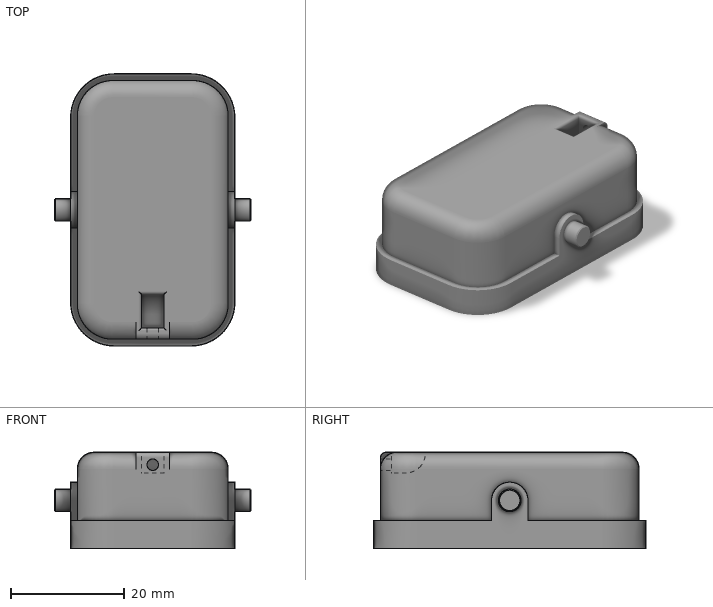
import cadquery as cq

flange_width = 29.0
flange_length = 48.0
flange_height = 5.0
flange_corner_radius = 7.75

body_width = 26.6
body_length = 45.6
total_height = 17.0
body_corner_radius = 6.25
top_edge_radius = 3.0
body_front_y = -body_length / 2

pin_span = 34.6
pin_diameter = 4.0
pin_end_chamfer = 0.2
pin_height = 8.5
lug_width = 6.45

block_width = 5.95
block_edge_radius = 1.0

pocket_width = 4.0
pocket_depth = 3.65
pocket_front_wall = 1.95
scoop_radius = 3.4
pocket_floor_length = 2.55
pocket_rim_radius = 0.5

hole_diameter = 2.0
hole_below_top = 2.2


def rounded_slab(width, length, height, corner_radius):
    slab = cq.Workplane("XY").box(width, length, height, centered=(True, True, False))
    return slab.edges("|Z").fillet(corner_radius)


def pin_and_lugs():
    lug = (
        cq.Workplane("YZ")
        .moveTo(-lug_width / 2, 0)
        .lineTo(lug_width / 2, 0)
        .lineTo(lug_width / 2, pin_height)
        .threePointArc((0, pin_height + lug_width / 2), (-lug_width / 2, pin_height))
        .close()
        .extrude(flange_width / 2, both=True)
    )
    pin = (
        cq.Workplane("YZ")
        .center(0, pin_height)
        .circle(pin_diameter / 2)
        .extrude(pin_span / 2, both=True)
        .faces("<X or >X")
        .chamfer(pin_end_chamfer)
    )
    return lug.union(pin)


def front_block():
    depth = 2 * top_edge_radius
    block = cq.Workplane("XY").box(block_width, depth, depth, centered=(True, False, False))
    block = block.translate((0, body_front_y, total_height - depth))
    return block.edges(">Z and <Y").fillet(block_edge_radius)


def cut_pocket(part):
    front_y = body_front_y + pocket_front_wall
    floor_z = total_height - pocket_depth
    scoop_start_y = front_y + pocket_floor_length
    back_y = scoop_start_y + scoop_radius
    scoop = (
        cq.Workplane("YZ")
        .moveTo(front_y, total_height)
        .lineTo(front_y, floor_z)
        .lineTo(scoop_start_y, floor_z)
        .radiusArc((back_y, floor_z + scoop_radius), -scoop_radius)
        .lineTo(back_y, total_height)
        .close()
        .extrude(pocket_width / 2, both=True)
    )
    margin = 0.05
    rim_zone = cq.selectors.BoxSelector(
        (-pocket_width / 2 - margin, front_y - margin, total_height - margin),
        (pocket_width / 2 + margin, back_y + margin, total_height + margin),
    )
    return part.cut(scoop).edges(rim_zone).fillet(pocket_rim_radius)


def cord_hole():
    return (
        cq.Workplane("XZ", origin=(0, body_front_y, total_height - hole_below_top))
        .circle(hole_diameter / 2)
        .extrude(-(pocket_front_wall + pocket_floor_length))
    )


flange = rounded_slab(flange_width, flange_length, flange_height, flange_corner_radius)
body = rounded_slab(body_width, body_length, total_height, body_corner_radius)
body = body.faces(">Z").edges().fillet(top_edge_radius)
body = body.union(front_block())
body = cut_pocket(body)

result = flange.union(body).union(pin_and_lugs()).cut(cord_hole())